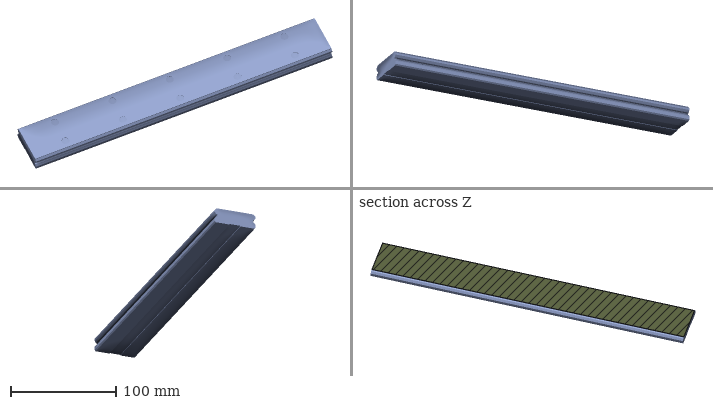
import cadquery as cq

length = 310.0
width = 42.0
height = 15.0
half_width = width / 2

base_chamfer = 1.2
base_land_top = 4.3
groove_mouth_bottom = 6.2

groove_mouth_depth = 1.5
groove_floor_depth = 2.8
groove_floor_bottom = 6.5
groove_floor_top = 8.0
groove_mouth_top = 8.7

head_land_bottom = 11.0
head_land_top = 12.7
head_slope_top = 14.3
head_slope_width = 2.0

relief_width = 11.2
relief_height = 0.5

seat_diameter = 7.5
seat_depth = 0.3
seats_per_row = 5
row_spacing = 24.0
end_margin = 35.0
seat_pitch = (length - 2 * end_margin) / (seats_per_row - 1)


def make_rail():
    """Extrude the symmetric rail section along its whole length."""
    groove_mouth = half_width - groove_mouth_depth
    groove_floor = half_width - groove_floor_depth
    top_half_width = half_width - head_slope_width
    right_side = [
        (relief_width / 2, relief_height),
        (relief_width / 2, 0),
        (half_width - base_chamfer, 0),
        (half_width, base_chamfer),
        (half_width, base_land_top),
        (groove_mouth, groove_mouth_bottom),
        (groove_floor, groove_floor_bottom),
        (groove_floor, groove_floor_top),
        (groove_mouth, groove_mouth_top),
        (half_width, head_land_bottom),
        (half_width, head_land_top),
        (top_half_width, head_slope_top),
        (top_half_width, height),
    ]
    left_side = [(-x, z) for x, z in reversed(right_side)]
    section = cq.Workplane("XZ").polyline(right_side + left_side).close()
    return section.extrude(length / 2, both=True)


def cut_seats(rail):
    """Sink the two evenly spaced rows of round seats into the top face."""
    return (
        rail.faces(">Z")
        .workplane(origin=(0, 0, height))
        .rarray(row_spacing, seat_pitch, 2, seats_per_row)
        .hole(seat_diameter, seat_depth)
    )


result = cut_seats(make_rail())